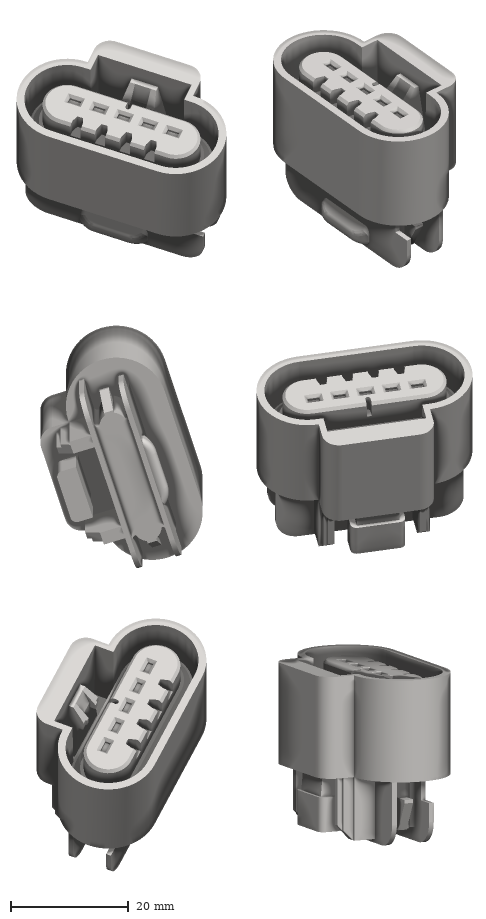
import cadquery as cq
import math


SHELL_HEIGHT = 17.6
SHELL_RADIUS = 8.62
LENGTH = 37.15
HALF_STRAIGHT = LENGTH / 2 - SHELL_RADIUS
LATCH_BOX_WIDTH = 19.32
LATCH_BOX_BACK = 14.5
LATCH_BOX_CORNER = 2.9

CAVITY_DEPTH = 14.5
CAVITY_FLOOR = SHELL_HEIGHT - CAVITY_DEPTH
CAVITY_RADIUS = 7.3
CAVITY_FLOOR_RADIUS = 7.15
LATCH_WINDOW_HALF = 8.6
LATCH_WINDOW_FLOOR_HALF = 8.45
LATCH_WINDOW_BACK = 10.7

CORE_TOP = SHELL_HEIGHT - 1.05
CORE_RADIUS = 4.2
CORE_CHAMFER = 0.5
SEAL_TOP = SHELL_HEIGHT - 5.95
SEAL_LIP_RADIUS = 4.83
SEAL_SHOULDER_RADIUS = 5.9
SEAL_RADIUS = 6.35
SEAL_SHOULDER_DROP = 1.08
SEAL_RIM_DROP = 0.2

PITCH = 4.5
TERMINAL_COUNT = 5
TERMINAL_Y = 0.95
MOUTH_LENGTH = 3.05
MOUTH_WIDTH = 1.95
MOUTH_BEVEL = 0.5
TERMINAL_DEPTH = 0.93

NOTCH_FLOOR = SHELL_HEIGHT - 3.98
NOTCH_HALF_WIDTH = 0.948
NOTCH_TIP_HALF_WIDTH = 0.54
NOTCH_SHOULDER_Y = -3.3
NOTCH_TIP_Y = -2.05
KEY_HALF_WIDTH = 0.45
KEY_TIP_HALF_WIDTH = 0.2
KEY_SHOULDER_Y = 2.82
KEY_TIP_Y = 2.53

NOSE_TOP = SHELL_HEIGHT - 3.6
NOSE_TOP_HALF = 2.4
NOSE_BASE_HALF = 4.75
NOSE_TOP_FRONT = 9.85
NOSE_BASE_FRONT = 8.6
NOSE_RAMP_DROP = 2.97
RAMP_FRONT = 7.65
RAMP_HEIGHT = 4.15
RAIL_FRONT = 7.45
RAIL_INNER = 1.45
RAIL_OUTER = 2.15

LEVER_HALF_WIDTH = 3.7
LEVER_FRONT = 8.9
LEVER_ROOT_BACK = 11.6
LEVER_TIP_BACK = 11.95
PAD_HALF_WIDTH = 4.75
PAD_BACK = 12.55
PAD_CORNER = 1.08
PAD_TOP = -4.05
PAD_BOTTOM = -10.07
GUARD_INNER = 7.45
GUARD_STEPS = ((9.65, 8.5), (9.1, 10.3), (8.55, 11.15))
GUARD_BOTTOM = -11.0
GUARD_CHAMFER = GUARD_STEPS[-1][1] - GUARD_STEPS[0][1]

SKIRT_HALF_LENGTH = 16.28
SKIRT_BOTTOM = -11.65
SKIRT_CORNER = 4.05
SKIRT_THICKNESS = 0.9
FRONT_SKIRT_Y = -3.27
REAR_SKIRT_Y = 3.75
SKIRT_NOTCH_HALF = 13.15
SKIRT_NOTCH_HEIGHT = 4.3

TAIL_BOTTOM = -9.33
TAIL_HALF_LENGTH = 11.8
TAIL_FRONT = FRONT_SKIRT_Y + SKIRT_THICKNESS
TAIL_CENTER_Y = (TAIL_FRONT + REAR_SKIRT_Y) / 2
TAIL_FLAT_HALF = 0.8
TAIL_PINCH_HALF = 2.3
TAIL_PINCH_X = 10.22
TAIL_BULGE = 0.6
TAIL_FILLET = (REAR_SKIRT_Y - TAIL_FRONT) / 2 - TAIL_PINCH_HALF
WEDGE_TIP_X = 14.7
WEDGE_TOP = -3.7
WEDGE_SLOPE = 0.49

CATCH_HALF_LENGTH = 6.2
CATCH_FACE_HALF = 3.2
CATCH_HEIGHT = 1.67
CATCH_SIDE = 0.3
CATCH_BOW = 0.25
CATCH_TOP = -7.3
CATCH_BOTTOM = -11.07
CATCH_EDGE_RADIUS = 1.08

OVERLAP = 0.2


def box(x_min, x_max, y_min, y_max, z_min, z_max):
    return cq.Workplane("XY").box(
        x_max - x_min, y_max - y_min, z_max - z_min, centered=False
    ).translate((x_min, y_min, z_min))


def stadium(radius, z_min, z_max):
    return (
        cq.Workplane("XY", origin=(0, 0, z_min))
        .slot2D(2 * (HALF_STRAIGHT + radius), 2 * radius)
        .extrude(z_max - z_min)
    )


def stadium_frustum(base_radius, top_radius, z_min, z_max):
    return (
        cq.Workplane("XY", origin=(0, 0, z_min))
        .slot2D(2 * (HALF_STRAIGHT + base_radius), 2 * base_radius)
        .workplane(offset=z_max - z_min)
        .slot2D(2 * (HALF_STRAIGHT + top_radius), 2 * top_radius)
        .loft(ruled=True)
    )


def both_sides(solid):
    return solid.union(solid.mirror("YZ"))


def yz_prism(points, half_width):
    return cq.Workplane("YZ").polyline(points).close().extrude(half_width, both=True)


def cavity_outline(plane, radius, window_half):
    return (
        plane.moveTo(-HALF_STRAIGHT, -radius)
        .lineTo(HALF_STRAIGHT, -radius)
        .threePointArc((HALF_STRAIGHT + radius, 0), (HALF_STRAIGHT, radius))
        .lineTo(window_half, radius)
        .lineTo(window_half, LATCH_WINDOW_BACK)
        .lineTo(-window_half, LATCH_WINDOW_BACK)
        .lineTo(-window_half, radius)
        .lineTo(-HALF_STRAIGHT, radius)
        .threePointArc((-HALF_STRAIGHT - radius, 0), (-HALF_STRAIGHT, -radius))
        .close()
    )


def make_shell():
    latch_box = box(
        -LATCH_BOX_WIDTH / 2, LATCH_BOX_WIDTH / 2, 0, LATCH_BOX_BACK, 0, SHELL_HEIGHT
    )
    latch_box = latch_box.edges("|Z and >Y").fillet(LATCH_BOX_CORNER)
    floor_plane = cq.Workplane("XY", origin=(0, 0, CAVITY_FLOOR))
    floor_wire = cavity_outline(floor_plane, CAVITY_FLOOR_RADIUS, LATCH_WINDOW_FLOOR_HALF)
    top_plane = floor_wire.workplane(offset=CAVITY_DEPTH)
    cavity = cavity_outline(top_plane, CAVITY_RADIUS, LATCH_WINDOW_HALF).loft(ruled=True)
    return stadium(SHELL_RADIUS, 0, SHELL_HEIGHT).union(latch_box).cut(cavity)


def make_core():
    shoulder_z = SEAL_TOP - SEAL_SHOULDER_DROP
    rim_z = shoulder_z - SEAL_RIM_DROP
    core = stadium(CORE_RADIUS, 0, CORE_TOP).faces(">Z").edges().chamfer(CORE_CHAMFER)
    core = core.union(stadium_frustum(SEAL_SHOULDER_RADIUS, SEAL_LIP_RADIUS, shoulder_z, SEAL_TOP))
    core = core.union(stadium_frustum(SEAL_RADIUS, SEAL_SHOULDER_RADIUS, rim_z, shoulder_z))
    return core.union(stadium(SEAL_RADIUS, CAVITY_FLOOR - OVERLAP, rim_z))


def make_terminal_openings():
    positions = [((i - (TERMINAL_COUNT - 1) / 2) * PITCH, TERMINAL_Y) for i in range(TERMINAL_COUNT)]
    hole_length = MOUTH_LENGTH - 2 * MOUTH_BEVEL
    hole_width = MOUTH_WIDTH - 2 * MOUTH_BEVEL
    top = cq.Workplane("XY", origin=(0, 0, CORE_TOP)).pushPoints(positions)
    mouths = top.rect(MOUTH_LENGTH, MOUTH_WIDTH).extrude(-MOUTH_BEVEL, taper=45)
    return mouths.union(top.rect(hole_length, hole_width).extrude(-TERMINAL_DEPTH))


def rim_notch(x, half_width, tip_half_width, rim_y, shoulder_y, tip_y):
    outline = [
        (x - half_width, rim_y),
        (x - half_width, shoulder_y),
        (x - tip_half_width, tip_y),
        (x + tip_half_width, tip_y),
        (x + half_width, shoulder_y),
        (x + half_width, rim_y),
    ]
    plane = cq.Workplane("XY", origin=(0, 0, NOTCH_FLOOR))
    return plane.polyline(outline).close().extrude(CORE_TOP - NOTCH_FLOOR)


def make_rim_notches():
    notches = rim_notch(
        0, KEY_HALF_WIDTH, KEY_TIP_HALF_WIDTH, CORE_RADIUS, KEY_SHOULDER_Y, KEY_TIP_Y
    )
    for i in range(TERMINAL_COUNT - 1):
        x = (i - (TERMINAL_COUNT - 2) / 2) * PITCH
        notches = notches.union(rim_notch(
            x, NOTCH_HALF_WIDTH, NOTCH_TIP_HALF_WIDTH, -CORE_RADIUS, NOTCH_SHOULDER_Y, NOTCH_TIP_Y
        ))
    return notches


def make_latch_nose():
    """Flared block on the back wall, with a ramp and two rails on its front."""
    back = LATCH_WINDOW_BACK + OVERLAP
    ramp_foot = NOSE_TOP - NOSE_RAMP_DROP
    ramp_bottom = NOSE_TOP - RAMP_HEIGHT
    body = yz_prism(
        [
            (back, CAVITY_FLOOR),
            (back, NOSE_TOP),
            (NOSE_TOP_FRONT, NOSE_TOP),
            (NOSE_BASE_FRONT, ramp_foot),
            (NOSE_BASE_FRONT, CAVITY_FLOOR),
        ],
        NOSE_BASE_HALF,
    )
    ramp_slope = NOSE_RAMP_DROP / (NOSE_TOP_FRONT - RAIL_FRONT)
    front_z = NOSE_TOP - ramp_slope * (NOSE_TOP_FRONT - RAMP_FRONT)
    ramp = yz_prism(
        [
            (back, ramp_bottom),
            (back, NOSE_TOP),
            (NOSE_TOP_FRONT, NOSE_TOP),
            (RAMP_FRONT, front_z),
            (RAMP_FRONT, ramp_bottom),
        ],
        NOSE_BASE_HALF,
    )
    rails = yz_prism(
        [
            (back, ramp_bottom),
            (back, NOSE_TOP),
            (NOSE_TOP_FRONT, NOSE_TOP),
            (RAIL_FRONT, ramp_foot),
            (RAIL_FRONT, ramp_bottom),
        ],
        RAIL_OUTER,
    )
    recess = box(-RAIL_INNER, RAIL_INNER, 0, back, CAVITY_FLOOR, NOSE_TOP)
    nose = ramp.union(rails).cut(recess).union(body)
    flare = (
        cq.Workplane("XZ", origin=(0, back, 0))
        .polyline([
            (-NOSE_BASE_HALF, CAVITY_FLOOR),
            (-NOSE_TOP_HALF, NOSE_TOP),
            (NOSE_TOP_HALF, NOSE_TOP),
            (NOSE_BASE_HALF, CAVITY_FLOOR),
        ])
        .close()
        .extrude(back)
    )
    return nose.intersect(flare)


def make_latch_lever():
    lever = yz_prism(
        [
            (LEVER_FRONT, OVERLAP),
            (LEVER_ROOT_BACK, OVERLAP),
            (LEVER_ROOT_BACK, 0),
            (LEVER_TIP_BACK, PAD_TOP),
            (LEVER_TIP_BACK, PAD_BOTTOM),
            (LEVER_FRONT, PAD_BOTTOM),
        ],
        LEVER_HALF_WIDTH,
    )
    pad = box(-PAD_HALF_WIDTH, PAD_HALF_WIDTH, LEVER_FRONT, PAD_BACK, PAD_BOTTOM, PAD_TOP)
    return lever.union(pad.edges("|Z and >Y").fillet(PAD_CORNER))


def make_guard_rails():
    rails = cq.Workplane("XY")
    for outer_x, back_y in GUARD_STEPS:
        rails = rails.union(box(GUARD_INNER, outer_x, REAR_SKIRT_Y, back_y, GUARD_BOTTOM, OVERLAP))
    back_y = GUARD_STEPS[-1][1]
    corner = yz_prism(
        [
            (back_y - GUARD_CHAMFER, GUARD_BOTTOM),
            (back_y, GUARD_BOTTOM),
            (back_y, GUARD_BOTTOM + GUARD_CHAMFER),
        ],
        LENGTH,
    )
    return both_sides(rails.cut(corner))


def skirt_plate(y):
    plate = box(
        -SKIRT_HALF_LENGTH, SKIRT_HALF_LENGTH, y, y + SKIRT_THICKNESS, SKIRT_BOTTOM, OVERLAP
    )
    return plate.edges("|Y and <Z").fillet(SKIRT_CORNER)


def make_skirts():
    notch = box(
        SKIRT_NOTCH_HALF, SKIRT_HALF_LENGTH, FRONT_SKIRT_Y, TAIL_FRONT, -SKIRT_NOTCH_HEIGHT, 0
    )
    return skirt_plate(FRONT_SKIRT_Y).cut(both_sides(notch)).union(skirt_plate(REAR_SKIRT_Y))


def make_tail():
    """Solid tail of the core: bulged ends, coved into both skirt plates, with end wedges."""
    half_width = TAIL_PINCH_HALF + TAIL_FILLET
    cove_x = TAIL_PINCH_X + TAIL_FILLET
    diagonal = math.sqrt(0.5)
    bulge_x = TAIL_PINCH_X + (TAIL_HALF_LENGTH - TAIL_PINCH_X) * TAIL_BULGE
    bulge_y = TAIL_FLAT_HALF + (TAIL_PINCH_HALF - TAIL_FLAT_HALF) * TAIL_BULGE
    cove_mid_x = cove_x - TAIL_FILLET * diagonal
    cove_mid_y = TAIL_PINCH_HALF + TAIL_FILLET * diagonal
    half_tail = (
        cq.Workplane("XY", origin=(0, TAIL_CENTER_Y, TAIL_BOTTOM))
        .moveTo(0, -half_width)
        .lineTo(cove_x, -half_width)
        .threePointArc((cove_mid_x, -cove_mid_y), (TAIL_PINCH_X, -TAIL_PINCH_HALF))
        .threePointArc((bulge_x, -bulge_y), (TAIL_HALF_LENGTH, -TAIL_FLAT_HALF))
        .lineTo(TAIL_HALF_LENGTH, TAIL_FLAT_HALF)
        .threePointArc((bulge_x, bulge_y), (TAIL_PINCH_X, TAIL_PINCH_HALF))
        .threePointArc((cove_mid_x, cove_mid_y), (cove_x, half_width))
        .lineTo(0, half_width)
        .close()
        .extrude(OVERLAP - TAIL_BOTTOM)
    )
    slope_top = -SKIRT_NOTCH_HEIGHT
    slope_foot_x = WEDGE_TIP_X - WEDGE_SLOPE * (slope_top - TAIL_BOTTOM)
    root_x = TAIL_PINCH_X - TAIL_FILLET
    wedge = (
        cq.Workplane("XZ", origin=(0, TAIL_CENTER_Y, 0))
        .polyline([
            (root_x, WEDGE_TOP),
            (WEDGE_TIP_X, WEDGE_TOP),
            (WEDGE_TIP_X, slope_top),
            (slope_foot_x, TAIL_BOTTOM),
            (root_x, TAIL_BOTTOM),
        ])
        .close()
        .extrude(TAIL_FLAT_HALF, both=True)
    )
    return both_sides(half_tail.union(wedge))


def make_catch():
    """Rounded catch with bowed ends and a 45 degree top."""
    face_y = FRONT_SKIRT_Y - CATCH_HEIGHT
    side_y = FRONT_SKIRT_Y - CATCH_SIDE
    bow_x = (CATCH_HALF_LENGTH + CATCH_FACE_HALF) / 2 + CATCH_BOW
    bow_y = (side_y + face_y) / 2 - CATCH_BOW
    catch = (
        cq.Workplane("XY", origin=(0, 0, CATCH_BOTTOM))
        .moveTo(-CATCH_HALF_LENGTH, FRONT_SKIRT_Y + OVERLAP)
        .lineTo(-CATCH_HALF_LENGTH, side_y)
        .threePointArc((-bow_x, bow_y), (-CATCH_FACE_HALF, face_y))
        .lineTo(CATCH_FACE_HALF, face_y)
        .threePointArc((bow_x, bow_y), (CATCH_HALF_LENGTH, side_y))
        .lineTo(CATCH_HALF_LENGTH, FRONT_SKIRT_Y + OVERLAP)
        .close()
        .extrude(CATCH_TOP - CATCH_BOTTOM)
    )
    slope = yz_prism(
        [
            (FRONT_SKIRT_Y, CATCH_TOP),
            (face_y, CATCH_TOP - CATCH_HEIGHT),
            (face_y, CATCH_TOP),
        ],
        CATCH_HALF_LENGTH,
    )
    catch = catch.cut(slope)
    slope_face = catch.faces(cq.ParallelDirSelector(cq.Vector(0, -1, 1)))
    catch = slope_face.edges("not >Z").fillet(CATCH_EDGE_RADIUS)
    return catch.faces("<Z").edges("not >Y").fillet(CATCH_EDGE_RADIUS)


result = make_shell().union(make_core())
result = result.cut(make_terminal_openings()).cut(make_rim_notches())
result = result.union(make_latch_nose())
for below_shell in (make_skirts(), make_tail(), make_guard_rails(), make_latch_lever(), make_catch()):
    result = result.union(below_shell)